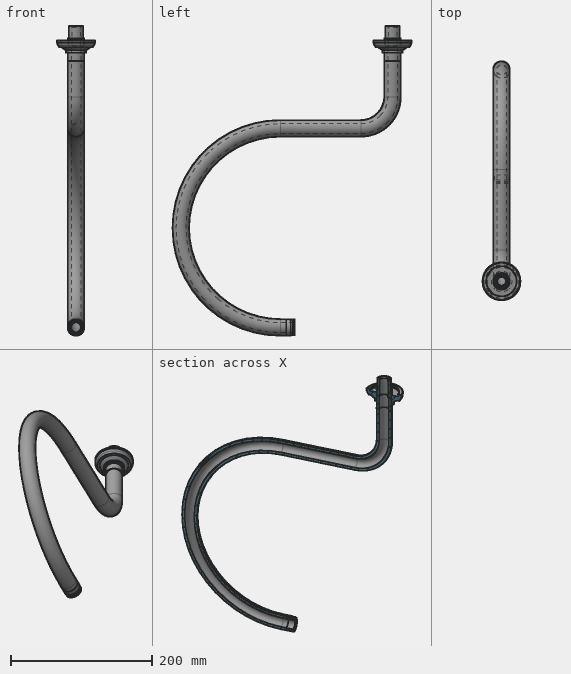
import cadquery as cq

TOTAL_HEIGHT = 439
TUBE_R = 12.0
TUBE_BORE_R = 7.0
ARC_R = 141.0
ELBOW_R = 45.0
REACH = 159.0
RUN_Z = 2 * ARC_R
OUTLET_STUB = 15.0
RISER_TOP_Z = 378.0

CONNECTOR_TOP_Z = 408.0

NIPPLE_R = 10.5
NIPPLE_BORE_R = 6.0
NIPPLE_TOP_Z = TOTAL_HEIGHT - TUBE_R
NIPPLE_SEAT = 9.0
NIPPLE_BOTTOM_Z = CONNECTOR_TOP_Z - NIPPLE_SEAT
NIPPLE_CHAMFER = 1.0
NIPPLE_MOUTH_CHAMFER = 1.8

O_RING_SECTION_R = 1.0
O_RING_R = TUBE_R - O_RING_SECTION_R
O_RING_Z = CONNECTOR_TOP_Z + O_RING_SECTION_R

ESC_TOP_Z = 407.0
ESC_DIAMETER = 54.0
ESC_R = ESC_DIAMETER / 2
ESC_EDGE_CHAMFER = 1.0
ESC_RIM_H = 4.0
ESC_WAIST_R = 26.0
ESC_WAIST_DROP = 7.0
ESC_SHOULDER_R = 23.5
ESC_SHOULDER_DROP = 10.5
ESC_COVE_R = 20.0
ESC_NECK_R = 14.5
ESC_NECK_H = 3.5
ESC_H = 18.0
ESC_RECESS_R = 21.5
ESC_RECESS_DEPTH = 3.0

OUTLET_Y = REACH - OUTLET_STUB
OUTLET_CHAMFER = 1.0
AERATOR_R = 10.5
AERATOR_FLANGE_R = 11.5
AERATOR_SEAT = 6.5
AERATOR_COLLAR_L = 2.5
AERATOR_GROOVE_L = 1.8
AERATOR_LIP_L = 1.0
AERATOR_MOUTH_CHAMFER = 1.5


def cylinder(radius, bottom_z, top_z):
    return cq.Workplane("XY").workplane(offset=bottom_z).circle(radius).extrude(top_z - bottom_z)


def outlet_cylinder(radius, start_y, end_y):
    """Cylinder along the outlet axis, running from start_y toward -Y."""
    return cq.Workplane("XZ", origin=(0, start_y, 0)).circle(radius).extrude(start_y - end_y)


def make_spout():
    path = (
        cq.Workplane("YZ")
        .moveTo(OUTLET_Y, 0)
        .lineTo(REACH, 0)
        .threePointArc((REACH + ARC_R, ARC_R), (REACH, RUN_Z))
        .lineTo(ELBOW_R, RUN_Z)
        .radiusArc((0, RUN_Z + ELBOW_R), ELBOW_R)
        .lineTo(0, RISER_TOP_Z)
    )
    tube = cq.Workplane("XZ", origin=(0, OUTLET_Y, 0)).circle(TUBE_R).circle(TUBE_BORE_R).sweep(path)
    rim_edge = cq.selectors.RadiusNthSelector(-1)
    tube = tube.faces("<Y").edges(rim_edge).chamfer(OUTLET_CHAMFER)
    return tube.cut(outlet_cylinder(AERATOR_R, OUTLET_Y + AERATOR_SEAT, OUTLET_Y))


def make_connector():
    body = cylinder(TUBE_R, RISER_TOP_Z, CONNECTOR_TOP_Z)
    body = body.cut(cylinder(NIPPLE_R, NIPPLE_BOTTOM_Z, CONNECTOR_TOP_Z))
    return body.cut(cylinder(TUBE_BORE_R, RISER_TOP_Z, CONNECTOR_TOP_Z))


def make_o_ring():
    section = cq.Workplane("XZ").center(O_RING_R, O_RING_Z).circle(O_RING_SECTION_R)
    return section.revolve(360, (-O_RING_R, 0, 0), (-O_RING_R, 1, 0))


def make_nipple():
    body = cylinder(NIPPLE_R, NIPPLE_BOTTOM_Z, NIPPLE_TOP_Z).faces(">Z").chamfer(NIPPLE_CHAMFER)
    body = body.cut(cylinder(NIPPLE_BORE_R, NIPPLE_BOTTOM_Z, NIPPLE_TOP_Z))
    mouth_edge = cq.selectors.RadiusNthSelector(0)
    body = body.faces(">Z").edges(mouth_edge).chamfer(NIPPLE_MOUTH_CHAMFER)
    return body.cut(make_o_ring())


def make_escutcheon():
    shoulder_z = ESC_TOP_Z - ESC_SHOULDER_DROP
    bottom_z = ESC_TOP_Z - ESC_H
    profile = (
        cq.Workplane("XZ")
        .moveTo(TUBE_R, bottom_z)
        .lineTo(ESC_NECK_R, bottom_z)
        .lineTo(ESC_NECK_R, bottom_z + ESC_NECK_H)
        .lineTo(ESC_COVE_R, shoulder_z)
        .lineTo(ESC_SHOULDER_R, shoulder_z)
        .lineTo(ESC_WAIST_R, ESC_TOP_Z - ESC_WAIST_DROP)
        .lineTo(ESC_R, ESC_TOP_Z - ESC_RIM_H)
        .lineTo(ESC_R, ESC_TOP_Z - ESC_EDGE_CHAMFER)
        .lineTo(ESC_R - ESC_EDGE_CHAMFER, ESC_TOP_Z)
        .lineTo(ESC_RECESS_R, ESC_TOP_Z)
        .lineTo(ESC_RECESS_R, ESC_TOP_Z - ESC_RECESS_DEPTH)
        .lineTo(TUBE_R, ESC_TOP_Z - ESC_RECESS_DEPTH)
        .close()
    )
    return profile.revolve(360, (0, 0, 0), (0, 1, 0))


def make_aerator():
    back_y = OUTLET_Y + AERATOR_SEAT
    collar_y = OUTLET_Y - AERATOR_COLLAR_L
    lip_y = collar_y - AERATOR_GROOVE_L
    front_y = lip_y - AERATOR_LIP_L
    body = (
        outlet_cylinder(AERATOR_R, back_y, front_y)
        .union(outlet_cylinder(AERATOR_FLANGE_R, OUTLET_Y, collar_y))
        .union(outlet_cylinder(AERATOR_FLANGE_R, lip_y, front_y))
        .cut(outlet_cylinder(TUBE_BORE_R, back_y, front_y))
    )
    mouth_edge = cq.selectors.RadiusNthSelector(0)
    return body.faces("<Y").edges(mouth_edge).chamfer(AERATOR_MOUTH_CHAMFER)


spout = make_spout()
connector = make_connector()
nipple = make_nipple()
o_ring = make_o_ring()
escutcheon = make_escutcheon()
aerator = make_aerator()

result = cq.Compound.makeCompound(
    [spout.val(), connector.val(), nipple.val(), o_ring.val(), escutcheon.val(), aerator.val()]
)